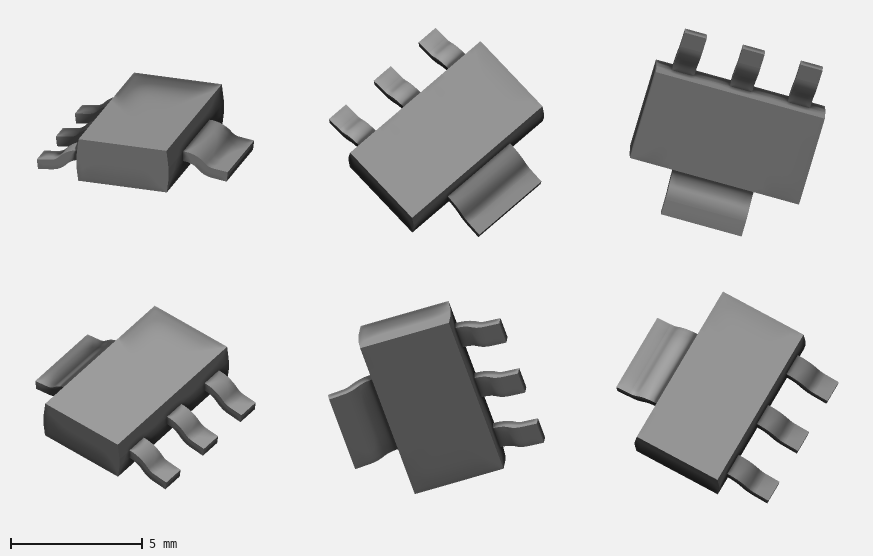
import cadquery as cq
import math

SPAN = 7.3
HOUSING_LENGTH = 6.7
TOP_Z = 1.75

BELT_WIDTH = 3.71
TOP_WIDTH = 3.53
BASE_WIDTH = 3.56
BASE_Z = 0.02

THICKNESS = 0.4
BELT_TOP_Z = 1.015
BELT_BASE_Z = BELT_TOP_Z - THICKNESS
FOOT_LENGTH = 0.6
FOOT_ANGLE = math.radians(7)

LEAD_WIDTH = 0.875
LEAD_PITCH = 2.3
LEAD_COUNT = 3
TAB_WIDTH = 3.2
TOE_RADIUS = 0.5

TIP_X = SPAN / 2
TIP_Z = THICKNESS * math.cos(FOOT_ANGLE)
TOE_X = TIP_X - FOOT_LENGTH * math.cos(FOOT_ANGLE)
TOE_Z = TIP_Z + FOOT_LENGTH * math.sin(FOOT_ANGLE)
TOE_CENTER = (TOE_X + TOE_RADIUS * math.sin(FOOT_ANGLE), TOE_Z + TOE_RADIUS * math.cos(FOOT_ANGLE))

SHOULDER_X = BELT_WIDTH / 2
CENTER_RUN = TOE_CENTER[0] - SHOULDER_X
CENTER_RISE = TOE_CENTER[1] - BELT_TOP_Z
SHOULDER_RADIUS = (TOE_RADIUS**2 - CENTER_RUN**2 - CENTER_RISE**2) / (2 * (CENTER_RISE - TOE_RADIUS))
SHOULDER_CENTER = (SHOULDER_X, BELT_TOP_Z - SHOULDER_RADIUS)
BEND_ANGLE = math.atan2(CENTER_RUN, CENTER_RISE + SHOULDER_RADIUS)


def make_housing():
    """Housing with an eight-sided section, centered on X and Y."""
    right_side = [
        (BASE_WIDTH / 2, BASE_Z),
        (BELT_WIDTH / 2, BELT_BASE_Z),
        (BELT_WIDTH / 2, BELT_TOP_Z),
        (TOP_WIDTH / 2, TOP_Z),
    ]
    left_side = [(-x, z) for x, z in reversed(right_side)]
    profile = cq.Workplane("XZ").polyline(right_side + left_side).close()
    return profile.extrude(HOUSING_LENGTH / 2, both=True)


def shoulder_point(angle, radius):
    """Point on the shoulder bend, with the angle measured from its crest."""
    x, z = SHOULDER_CENTER
    return (x + radius * math.sin(angle), z + radius * math.cos(angle))


def toe_point(angle, radius):
    """Point on the toe bend, with the angle measured from straight below its center."""
    x, z = TOE_CENTER
    return (x - radius * math.sin(angle), z - radius * math.cos(angle))


def make_strip(width):
    """S-bent strip of constant thickness on the +X side, centered on Y."""
    inner_shoulder = SHOULDER_RADIUS - THICKNESS
    outer_toe = TOE_RADIUS + THICKNESS
    shoulder_middle = BEND_ANGLE / 2
    toe_middle = (BEND_ANGLE + FOOT_ANGLE) / 2
    heel = (TIP_X - THICKNESS * math.sin(FOOT_ANGLE), 0)
    profile = (
        cq.Workplane("XZ")
        .moveTo(SHOULDER_X, BELT_TOP_Z)
        .threePointArc(
            shoulder_point(shoulder_middle, SHOULDER_RADIUS), shoulder_point(BEND_ANGLE, SHOULDER_RADIUS)
        )
        .threePointArc(toe_point(toe_middle, TOE_RADIUS), (TOE_X, TOE_Z))
        .lineTo(TIP_X, TIP_Z)
        .lineTo(*heel)
        .lineTo(*toe_point(FOOT_ANGLE, outer_toe))
        .threePointArc(toe_point(toe_middle, outer_toe), toe_point(BEND_ANGLE, outer_toe))
        .threePointArc(shoulder_point(shoulder_middle, inner_shoulder), (SHOULDER_X, BELT_BASE_Z))
        .close()
    )
    return profile.extrude(width / 2, both=True)


def make_lead(y):
    """One narrow lead on the -X side at the given Y."""
    return make_strip(LEAD_WIDTH).mirror("YZ").translate((0, y, 0))


housing = make_housing()
tab = make_strip(TAB_WIDTH)
leads = []
for index in range(LEAD_COUNT):
    lead_y = (index - (LEAD_COUNT - 1) / 2) * LEAD_PITCH
    leads.append(make_lead(lead_y))

result = cq.Compound.makeCompound([housing.val(), tab.val(), *[lead.val() for lead in leads]])